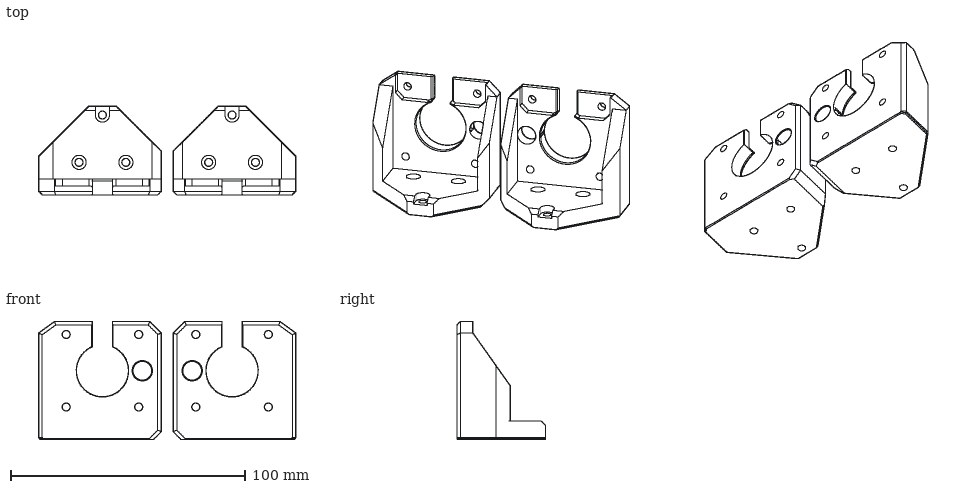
import cadquery as cq
PAIR_LENGTH = 109.9
BODY_GAP = 5.1
BODY_WIDTH = (PAIR_LENGTH - BODY_GAP) / 2
DEPTH = 38.0
HEIGHT = 50.5

MOTOR_HALF = 21.1
AXIS_Z = HEIGHT - MOTOR_HALF
INNER_HALF = 25.2
OUTER_HALF = BODY_WIDTH - INNER_HALF
PLATE_THICKNESS = 6.9
BASE_THICKNESS = 8.0
CUT_MARGIN = 5.5

CORNER_CUT = 5.0
OUTER_CORNER_CUT = 6.8
LOWER_CORNER_CUT = 3.4
FRONT_CHAMFER = 1.5
FOOT_WIDTH = 0.71
FOOT_HEIGHT = 1.0
FOOT_STEP_WIDTH = 0.27
FOOT_STEP_HEIGHT = 0.4
FRONT_FOOT_BEVEL = 0.4
BACK_HALF = 5.9
BACK_CHAMFER = 2.0
SLOPE_FOOT_Y = 33.5

BORE_RADIUS = 11.1
BORE_BACK_RADIUS = 11.4
BORE_FLARE_Y = 5.9
SLOT_HALF = 4.3
EDGE_BEVEL = 0.3
SLOT_BACK_CHAMFER = 0.7
MOTOR_HOLE_SPACING = 31.0
SCREW_DIAMETER = 3.3
ROD_OFFSET = 17.0
ROD_DIAMETER = 8.0
LINK_OFFSET = 12.6
LINK_DIAMETER = 3.3
LINK_START_Y = 1.2
LINK_END_Y = 5.3

RECESS_Y = 4.0
RECESS_HALF = 20.0
RECESS_FLOOR_HALF = 17.0
RECESS_FLOOR_Z = 39.8
RING_RADIUS = 11.9

FRONT_SCREW_Y = 14.0
FRONT_SCREW_HALF_SPACING = 10.0
BACK_SCREW_Y = 34.2
HEAD_DIAMETER = 6.0
HEAD_DEPTH = 3.0


def box_between(x0, x1, y0, y1, z0, z1):
    """Box given by its limits on each axis."""
    return cq.Workplane("XY").box(x1 - x0, y1 - y0, z1 - z0, centered=False).translate((x0, y0, z0))


def prism_y(points, y0, y1):
    """Prism along Y with an (x, z) outline."""
    return cq.Workplane("XZ", origin=(0, y0, 0)).polyline(points).close().extrude(y0 - y1)


def prism_x(points, x0, x1):
    """Prism along X with a (y, z) outline."""
    return cq.Workplane("YZ", origin=(x0, 0, 0)).polyline(points).close().extrude(x1 - x0)


def prism_z(points, z0, z1):
    """Prism along Z with an (x, y) outline."""
    return cq.Workplane("XY", origin=(0, 0, z0)).polyline(points).close().extrude(z1 - z0)


def cylinder_y(x, z, radius, y0, y1):
    """Cylinder along Y."""
    return cq.Workplane("XZ", origin=(x, y0, z)).circle(radius).extrude(y0 - y1)


def cone_y(x, z, radius0, radius1, y0, y1):
    """Cone frustum along Y, with radius0 at y0 and radius1 at y1."""
    cone = cq.Solid.makeCone(radius0, radius1, y1 - y0, pnt=cq.Vector(x, y0, z), dir=cq.Vector(0, 1, 0))
    return cq.Workplane(obj=cone)


def outer_block():
    """Block with cut corners, a chamfered front face and a plan narrowing at 45 degrees to the back."""
    outline = [
        (-OUTER_HALF, 0),
        (INNER_HALF - LOWER_CORNER_CUT, 0),
        (INNER_HALF, LOWER_CORNER_CUT),
        (INNER_HALF, HEIGHT - CORNER_CUT),
        (INNER_HALF - CORNER_CUT, HEIGHT),
        (OUTER_CORNER_CUT - OUTER_HALF, HEIGHT),
        (-OUTER_HALF, HEIGHT - CORNER_CUT),
    ]
    block = prism_y(outline, 0, DEPTH)
    bottom_edge = cq.selectors.DirectionMinMaxSelector(cq.Vector(0, 0, 1), False)
    all_but_bottom = cq.selectors.InverseSelector(bottom_edge)
    block = block.faces("<Y").edges(all_but_bottom).chamfer(FRONT_CHAMFER)

    plan = [
        (-OUTER_HALF, 0),
        (INNER_HALF, 0),
        (INNER_HALF, DEPTH - (INNER_HALF - BACK_HALF)),
        (BACK_HALF, DEPTH),
        (-BACK_HALF, DEPTH),
        (-OUTER_HALF, DEPTH - (OUTER_HALF - BACK_HALF)),
    ]
    return block.intersect(prism_z(plan, 0, HEIGHT))


def foot_wedge(profile, x, y, angle):
    """Long wedge on the bottom edge through (x, y), whose profile points inward at `angle` from +X."""
    return prism_y(profile, -PAIR_LENGTH, PAIR_LENGTH).rotate((0, 0, 0), (0, 0, 1), angle).translate((x, y, 0))


def foot_bevels():
    """Bevels on the bottom edges: one flat at the front, two flats at the outer and the slanted sides."""
    front_profile = [(0, 0), (FRONT_FOOT_BEVEL, 0), (0, FRONT_FOOT_BEVEL)]
    side_profile = [(0, 0), (FOOT_WIDTH, 0), (FOOT_STEP_WIDTH, FOOT_STEP_HEIGHT), (0, FOOT_HEIGHT)]
    wedges = [
        foot_wedge(front_profile, 0, 0, 90),
        foot_wedge(side_profile, -OUTER_HALF, 0, 0),
        foot_wedge(side_profile, -OUTER_HALF, FRONT_CHAMFER, 45),
        foot_wedge(side_profile, -BACK_HALF, DEPTH, -45),
        foot_wedge(side_profile, BACK_HALF, DEPTH, -135),
    ]
    bevels = wedges[0]
    for wedge in wedges[1:]:
        bevels = bevels.union(wedge)
    return bevels


def motor_bay():
    """Space behind the motor plate, between the side walls and above the base."""
    return box_between(
        -MOTOR_HALF, MOTOR_HALF, PLATE_THICKNESS, DEPTH + CUT_MARGIN, BASE_THICKNESS, HEIGHT + CUT_MARGIN
    )


def wall_slope():
    """Space above the side walls, which slope down from the motor plate to the base."""
    profile = [
        (PLATE_THICKNESS, HEIGHT + CUT_MARGIN),
        (PLATE_THICKNESS, HEIGHT - CORNER_CUT),
        (SLOPE_FOOT_Y, BASE_THICKNESS),
        (DEPTH + CUT_MARGIN, BASE_THICKNESS),
        (DEPTH + CUT_MARGIN, HEIGHT + CUT_MARGIN),
    ]
    return prism_x(profile, -OUTER_HALF - CUT_MARGIN, INNER_HALF + CUT_MARGIN)


def back_chamfer():
    """Wedge along the upper back edge of the base."""
    profile = [
        (DEPTH, BASE_THICKNESS),
        (DEPTH - BACK_CHAMFER, BASE_THICKNESS),
        (DEPTH, BASE_THICKNESS - BACK_CHAMFER),
    ]
    return prism_x(profile, -OUTER_HALF, INNER_HALF)


def plate_recess():
    """Recess in the back of the motor plate, open at the top, with 45-degree lower corners."""
    corner_rise = RECESS_HALF - RECESS_FLOOR_HALF
    outline = [
        (-RECESS_FLOOR_HALF, RECESS_FLOOR_Z),
        (RECESS_FLOOR_HALF, RECESS_FLOOR_Z),
        (RECESS_HALF, RECESS_FLOOR_Z + corner_rise),
        (RECESS_HALF, HEIGHT + CUT_MARGIN),
        (-RECESS_HALF, HEIGHT + CUT_MARGIN),
        (-RECESS_HALF, RECESS_FLOOR_Z + corner_rise),
    ]
    recess = prism_y(outline, RECESS_Y, PLATE_THICKNESS)
    chamfer_half = SLOT_HALF + SLOT_BACK_CHAMFER
    slot_chamfer = prism_z(
        [
            (-SLOT_HALF, RECESS_Y - SLOT_BACK_CHAMFER),
            (SLOT_HALF, RECESS_Y - SLOT_BACK_CHAMFER),
            (chamfer_half, RECESS_Y),
            (-chamfer_half, RECESS_Y),
        ],
        RECESS_FLOOR_Z,
        HEIGHT,
    )
    ring = cylinder_y(0, AXIS_Z, RING_RADIUS, 0, PLATE_THICKNESS)
    return recess.union(slot_chamfer).cut(ring)


def bore_and_slot():
    """Bore for the motor boss, flared at the back, and the slot that opens it at the top."""
    bore = cylinder_y(0, AXIS_Z, BORE_RADIUS, 0, PLATE_THICKNESS)
    flare = cone_y(0, AXIS_Z, BORE_RADIUS, BORE_BACK_RADIUS, BORE_FLARE_Y, PLATE_THICKNESS)
    bevel_half = SLOT_HALF + EDGE_BEVEL
    slot = prism_z(
        [
            (-bevel_half, 0),
            (bevel_half, 0),
            (SLOT_HALF, EDGE_BEVEL),
            (SLOT_HALF, PLATE_THICKNESS),
            (-SLOT_HALF, PLATE_THICKNESS),
            (-SLOT_HALF, EDGE_BEVEL),
        ],
        AXIS_Z,
        HEIGHT,
    )
    return bore.union(flare).union(slot)


def rod_hole():
    """Hole for the smooth rod, bevelled at the front, and the short round pocket that links it to the bore."""
    radius = ROD_DIAMETER / 2
    hole = cylinder_y(ROD_OFFSET, AXIS_Z, radius, 0, DEPTH)
    bevel = cone_y(ROD_OFFSET, AXIS_Z, radius + EDGE_BEVEL, radius, 0, EDGE_BEVEL)
    link = cylinder_y(LINK_OFFSET, AXIS_Z, LINK_DIAMETER / 2, LINK_START_Y, LINK_END_Y)
    return hole.union(bevel).union(link)


def motor_screw_holes():
    """Square pattern of four screw holes around the motor axis."""
    return (
        cq.Workplane("XZ", origin=(0, 0, AXIS_Z))
        .rect(MOTOR_HOLE_SPACING, MOTOR_HOLE_SPACING, forConstruction=True)
        .vertices()
        .circle(SCREW_DIAMETER / 2)
        .extrude(-PLATE_THICKNESS)
    )


def base_screw_holes():
    """Three counterbored holes through the base, the back one open to the back edge."""
    centres = [
        (-FRONT_SCREW_HALF_SPACING, FRONT_SCREW_Y),
        (FRONT_SCREW_HALF_SPACING, FRONT_SCREW_Y),
        (0, BACK_SCREW_Y),
    ]
    head_floor = BASE_THICKNESS - HEAD_DEPTH
    holes = cq.Workplane("XY").pushPoints(centres).circle(SCREW_DIAMETER / 2).extrude(BASE_THICKNESS)
    heads = (
        cq.Workplane("XY", origin=(0, 0, head_floor))
        .pushPoints(centres)
        .circle(HEAD_DIAMETER / 2)
        .extrude(HEAD_DEPTH)
    )
    open_back = box_between(
        -HEAD_DIAMETER / 2, HEAD_DIAMETER / 2, BACK_SCREW_Y, DEPTH, head_floor, BASE_THICKNESS
    )
    return holes.union(heads).union(open_back)


def bracket():
    """One bracket, with the motor axis at X = 0 and its wider wall on the -X side."""
    body = outer_block()
    cuts = [
        foot_bevels(),
        motor_bay(),
        wall_slope(),
        back_chamfer(),
        plate_recess(),
        bore_and_slot(),
        rod_hole(),
        motor_screw_holes(),
        base_screw_holes(),
    ]
    for cut in cuts:
        body = body.cut(cut)
    return body


left_bracket = bracket().translate((OUTER_HALF - PAIR_LENGTH / 2, 0, 0))
right_bracket = left_bracket.mirror("YZ")
result = cq.Compound.makeCompound([left_bracket.val(), right_bracket.val()])